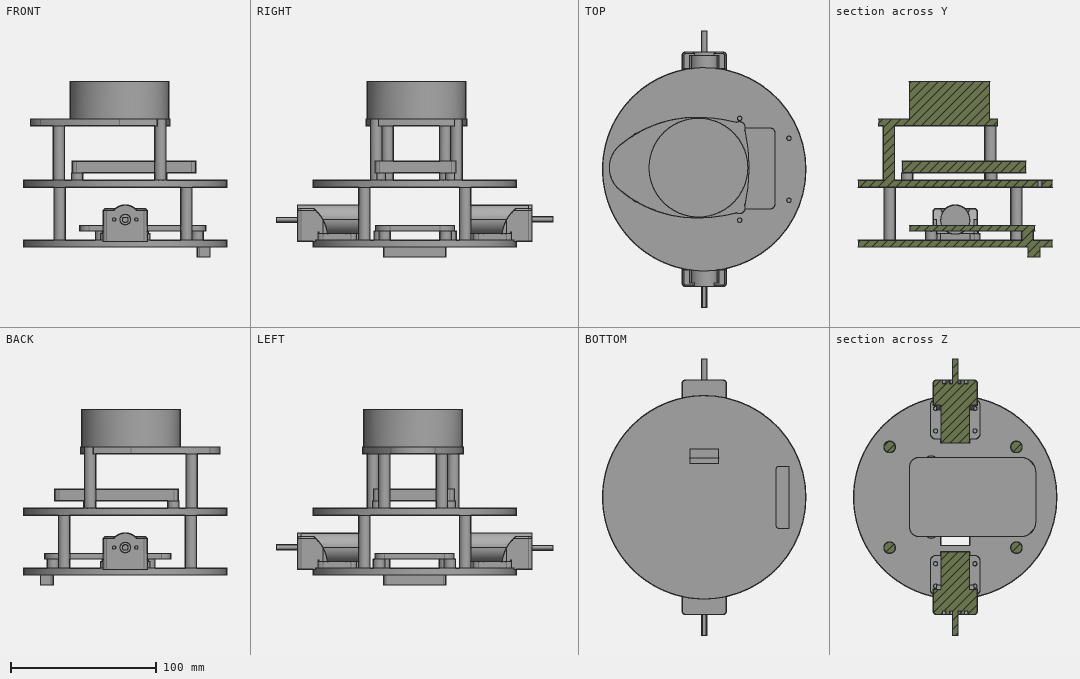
import cadquery as cq
import math

deck_dia = 140.0
deck_thick = 5.0
lower_deck_top = deck_thick
middle_deck_z = 41.1
middle_deck_top = middle_deck_z + deck_thick
post_dia = 8.0

deck_posts = [(42.1, 34.7), (-45.1, 34.7)]

deck_hole_dia = 3.0
deck_holes = [(24.4, 35.0), (58.3, 21.3)]

slot_length = 19.8
slot_width = 10.0
slot_y = -28.2

bar_x = 49.5
bar_length_x = 9.0
bar_length_y = 42.7
bar_height = 6.9
bar_fillet = 1.7

board_x_min = -31.5
board_x_max = 55.5
board_width = 54.5
board_y = 0.2
board_z = 11.0
board_thick = 4.0
board_front_radius = 6.5
board_rear_radius = 10.1
board_posts = [(-16.5, 24.4), (49.7, 21.0)]

case_x_min = -36.5
case_length = 85.2
case_width = 55.6
case_y = 0.5
case_z = 51.2
case_height = 8.0
case_radius = 3.0
case_posts = [(-33.1, 24.5), (24.8, 24.5)]

sensor_y = 1.1
plate_z = 83.5
plate_thick = 5.0
plate_top = plate_z + plate_thick
nose_x = -65.3
nose_end_x = -58.3
nose_end_y = 15.2
flank_x = -3.8
plate_half_width = 34.7
flank_end_x = 22.0
flank_end_y = 31.2
corner_post_x = 24.2
corner_post_y = 27.6
plate_rear_x = 30.9
plate_rear_corner_x = 27.6
front_post_x = -45.7
front_post_y = 19.8
drum_dia = 68.0
drum_x = -4.0
drum_top = 114.1

axle_z = 19.0
motor_radius = 10.0
motor_shell_radius = 10.1
motor_inner_y = 37.3
bracket_face_y = 80.8
bracket_wall = 2.5
wall_back_y = bracket_face_y - bracket_wall
bracket_half_width = 15.2
bracket_bottom = 4.0
bracket_top = 26.5
bracket_edge_fillet = 2.5
bracket_top_chamfer = 1.1
bracket_top_rear_y = 69.3
bracket_side_rear_y = 63.2
bracket_foot_rear_y = 60.2
channel_half_top = 10.1
channel_half_bottom = 8.8
channel_bottom = 23.6
cradle_half_width = 12.8
foot_half_width = 17.1
foot_y_min = 40.0
foot_y_max = 67.2
foot_top = 9.3
foot_radius = 4.0
foot_neck_half_width = 10.3
foot_neck_y = 37.7
foot_lip_top = 10.5
foot_lip_y = 66.0
foot_hole_dia = 2.9
foot_hole_x = 13.5
foot_hole_ys = (45.7, 61.2)
axle_dia = 4.0
axle_flat = 1.5
axle_tip_y = 95.2
axle_hole_dia = 7.2
screw_hole_dia = 2.3
screw_hole_x = 7.6


def box(x0, x1, y0, y1, z0, z1):
    """Box given by its limits along each axis."""
    return cq.Workplane("XY").box(x1 - x0, y1 - y0, z1 - z0, centered=False).translate((x0, y0, z0))


def disc(x, y, dia, z0, z1):
    """Upright cylinder between two heights."""
    return cq.Workplane("XY", origin=(x, y, z0)).circle(dia / 2).extrude(z1 - z0)


def mirrored_discs(places, y_mid, dia, z0, z1):
    """Upright cylinders in pairs on both sides of the line y = y_mid."""
    points = [(x, y_mid + side * y) for x, y in places for side in (-1, 1)]
    return cq.Workplane("XY", origin=(0, 0, z0)).pushPoints(points).circle(dia / 2).extrude(z1 - z0)


def rod_y(x, dia, y0, y1):
    """Cylinder along Y at the height of the axles."""
    plane = cq.Plane(origin=(x, y0, axle_z), xDir=(1, 0, 0), normal=(0, 1, 0))
    return cq.Workplane(plane).circle(dia / 2).extrude(y1 - y0)


def half_space(side, z):
    """Box around a motor and its axle, above (side = 1) or below (-1) the height z."""
    reach = 2 * motor_shell_radius
    far_z = z + side * reach
    return box(-reach, reach, 0, axle_tip_y, min(z, far_z), max(z, far_z))


def make_decks():
    lower = disc(0, 0, deck_dia, 0, lower_deck_top)
    lower = lower.cut(
        box(
            -slot_length / 2, slot_length / 2,
            slot_y - slot_width / 2, slot_y + slot_width / 2,
            0, lower_deck_top,
        )
    )
    middle = disc(0, 0, deck_dia, middle_deck_z, middle_deck_top)
    middle = middle.cut(mirrored_discs(deck_holes, 0, deck_hole_dia, middle_deck_z, middle_deck_top))
    posts = mirrored_discs(deck_posts, 0, post_dia, lower_deck_top, middle_deck_z)
    return lower.union(posts).union(middle)


def make_bar():
    bar = box(bar_x, bar_x + bar_length_x, -bar_length_y / 2, bar_length_y / 2, -bar_height, 0)
    return bar.edges("|Z and <X").fillet(bar_fillet)


def make_board():
    board = box(
        board_x_min, board_x_max,
        board_y - board_width / 2, board_y + board_width / 2,
        board_z, board_z + board_thick,
    )
    board = board.edges("|Z and <X").fillet(board_front_radius)
    board = board.edges("|Z and >X").fillet(board_rear_radius)
    return board.union(mirrored_discs(board_posts, board_y, post_dia, lower_deck_top, board_z))


def make_case():
    case = box(
        case_x_min, case_x_min + case_length,
        case_y - case_width / 2, case_y + case_width / 2,
        case_z, case_z + case_height,
    )
    case = case.edges("|Z").fillet(case_radius)
    return case.union(mirrored_discs(case_posts, case_y, post_dia, middle_deck_top, case_z))


def make_sensor():
    nose_radius = ((nose_end_x - nose_x) ** 2 + nose_end_y**2) / (2 * (nose_end_x - nose_x))
    rear_bulge = plate_rear_x - plate_rear_corner_x
    rear_radius = (rear_bulge**2 + corner_post_y**2) / (2 * rear_bulge)
    half_plate = (
        cq.Workplane("XY")
        .moveTo(plate_rear_x, 0)
        .lineTo(nose_x, 0)
        .radiusArc((nose_end_x, nose_end_y), nose_radius)
        .tangentArcPoint((flank_x, plate_half_width), relative=False)
        .tangentArcPoint((flank_end_x, flank_end_y), relative=False)
        .lineTo(corner_post_x, corner_post_y)
        .lineTo(plate_rear_corner_x, corner_post_y)
        .radiusArc((plate_rear_x, 0), rear_radius)
        .close()
        .extrude(plate_thick)
    )
    plate = half_plate.union(half_plate.mirror("XZ")).translate((0, sensor_y, plate_z))
    front_posts = mirrored_discs(
        [(front_post_x, front_post_y)], sensor_y, post_dia, middle_deck_top, plate_z
    )
    corner_posts = mirrored_discs(
        [(corner_post_x, corner_post_y)], sensor_y, post_dia, middle_deck_top, plate_top
    )
    drum = disc(drum_x, sensor_y, drum_dia, plate_top, drum_top)
    return plate.union(front_posts).union(corner_posts).union(drum)


def make_bracket():
    block = box(
        -bracket_half_width, bracket_half_width,
        bracket_foot_rear_y, bracket_face_y,
        bracket_bottom, bracket_top,
    )
    block = block.edges("|Z and >Y").fillet(bracket_edge_fillet)
    block = block.faces(">Z").edges("not <Y").chamfer(bracket_top_chamfer)
    profile = (
        cq.Workplane("YZ", origin=(-bracket_half_width, 0, 0))
        .moveTo(bracket_face_y, bracket_bottom)
        .lineTo(bracket_face_y, bracket_top)
        .lineTo(bracket_top_rear_y, bracket_top)
        .threePointArc((bracket_side_rear_y, axle_z), (bracket_foot_rear_y, foot_top))
        .lineTo(bracket_foot_rear_y, bracket_bottom)
        .close()
        .extrude(2 * bracket_half_width)
    )
    block = block.intersect(profile)
    for x0, x1 in ((-bracket_half_width, -cradle_half_width), (cradle_half_width, bracket_half_width)):
        block = block.cut(box(x0, x1, bracket_foot_rear_y, bracket_side_rear_y, bracket_bottom, bracket_top))

    channel = (
        cq.Workplane("XZ", origin=(0, wall_back_y, 0))
        .polyline([
            (-channel_half_top, bracket_top),
            (-channel_half_bottom, channel_bottom),
            (channel_half_bottom, channel_bottom),
            (channel_half_top, bracket_top),
        ])
        .close()
        .extrude(wall_back_y - bracket_foot_rear_y)
    )
    return block.cut(channel)


def make_foot():
    foot = box(-foot_half_width, foot_half_width, foot_y_min, foot_y_max, lower_deck_top, foot_lip_top)
    foot = foot.edges("|Z").fillet(foot_radius)
    foot = foot.cut(
        box(-foot_half_width, foot_half_width, foot_y_min, foot_lip_y, foot_top, foot_lip_top)
    )
    foot = foot.union(
        box(
            -foot_neck_half_width, foot_neck_half_width,
            foot_neck_y, foot_y_min + foot_radius,
            lower_deck_top, foot_top,
        )
    )
    holes = [(side * foot_hole_x, y) for side in (-1, 1) for y in foot_hole_ys]
    for x, y in holes:
        foot = foot.cut(disc(x, y, foot_hole_dia, lower_deck_top, foot_top))
    return foot


def make_axle(flat_side):
    """Axle with a flat along its top (flat_side = 1) or its bottom (-1)."""
    axle = rod_y(0, axle_dia, wall_back_y, axle_tip_y)
    return axle.cut(half_space(flat_side, axle_z + flat_side * axle_flat))


def make_drive(flat_side):
    """Bracket, foot, motor and axle; the larger half of the motor is on the side of the axle's flat."""
    drive = make_bracket().union(make_foot())
    drive = drive.union(rod_y(0, 2 * motor_radius, motor_inner_y, wall_back_y))
    shell = rod_y(0, 2 * motor_shell_radius, motor_inner_y, wall_back_y)
    drive = drive.union(shell.intersect(half_space(flat_side, axle_z)))
    drive = drive.union(rod_y(0, 2 * motor_shell_radius, wall_back_y, bracket_face_y))
    drive = drive.cut(rod_y(0, axle_hole_dia, wall_back_y, bracket_face_y))
    for side in (-1, 1):
        drive = drive.cut(rod_y(side * screw_hole_x, screw_hole_dia, wall_back_y, bracket_face_y))
    return drive.union(make_axle(flat_side))


left_drive = make_drive(-1)
right_drive = make_drive(1).mirror("XZ")

result = make_decks()
for piece in (make_bar(), make_board(), make_case(), make_sensor(), left_drive, right_drive):
    result = result.union(piece)